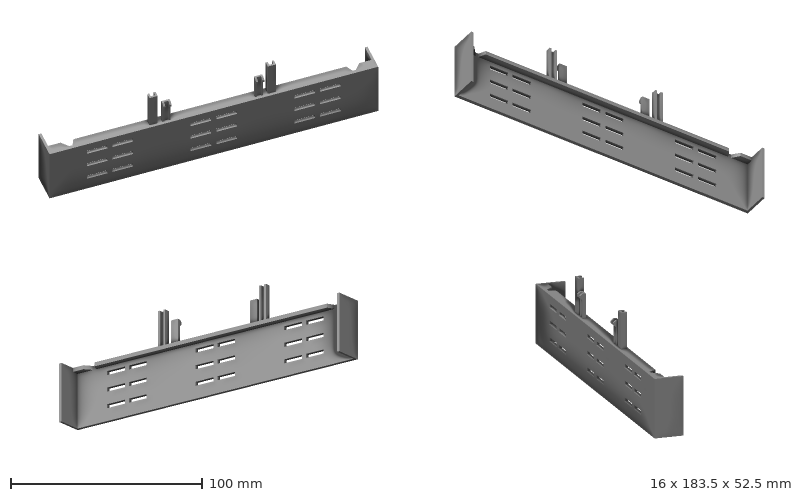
import cadquery as cq

length = 183.5
depth = 16.0
panel_height = 32.5
total_height = 52.5

panel_thickness = 2.0
end_plate_thickness = 1.5
lip_width = 6.0
lip_height = 2.2
panel_inner_x = depth - panel_thickness
lip_edge_x = depth - lip_width

notch_mouth_near = 8.5
notch_floor_near = 11.7
notch_floor_far = 13.5
notch_mouth_far = 15.6

slot_length = 11.5
slot_height = 2.2
slot_column_pitch = 14.3
slot_row_pitch = 9.2
slot_group_pitch = 58.0
slot_middle_row_z = 17.5

post_length = 4.5
post_wall = 1.1
guide_center_y = 33.0
guide_x = 11.0
guide_width = 3.3
clip_center_y = 25.9
clip_x = 12.7
clip_width = 1.7
clip_height = 13.8
hook_height = 3.7
hook_tip_height = 1.3


def box(x_min, x_max, y_center, y_size, z_min, z_max):
    """Block given by its X and Z limits and its centre and size along Y."""
    block = cq.Workplane("XY").box(x_max - x_min, y_size, z_max - z_min, centered=(False, True, False))
    return block.translate((x_min, y_center, z_min))


def make_body():
    """Panel with an end plate at each end and the lip along its top."""
    body = box(panel_inner_x, depth, 0, length, 0, panel_height)
    body = body.union(box(lip_edge_x, depth, 0, length, panel_height - lip_height, panel_height))
    end_plate_y = (length - end_plate_thickness) / 2
    for side in (-1, 1):
        body = body.union(box(0, depth, side * end_plate_y, end_plate_thickness, 0, panel_height))
    return body


def make_notch(side):
    """Tapered cut from the lip edge to the inner face of the panel."""
    end_y = length / 2
    outline = [
        (lip_edge_x, side * (end_y - notch_mouth_near)),
        (panel_inner_x, side * (end_y - notch_floor_near)),
        (panel_inner_x, side * (end_y - notch_floor_far)),
        (lip_edge_x, side * (end_y - notch_mouth_far)),
    ]
    lip_bottom = cq.Workplane("XY").workplane(offset=panel_height - lip_height)
    return lip_bottom.polyline(outline).close().extrude(lip_height)


def make_slots():
    """All slots, cut through the thickness of the panel."""
    centers = [
        (group * slot_group_pitch + column * slot_column_pitch / 2, slot_middle_row_z + row * slot_row_pitch)
        for group in (-1, 0, 1)
        for column in (-1, 1)
        for row in (-1, 0, 1)
    ]
    inner_face = cq.Workplane("YZ").workplane(offset=panel_inner_x)
    return inner_face.pushPoints(centers).rect(slot_length, slot_height).extrude(panel_thickness)


def make_guide(y_center):
    """Tall C-shaped channel, open toward -X."""
    back_x = guide_x + guide_width
    outer = box(guide_x, back_x, y_center, post_length, panel_height, total_height)
    groove_width = post_length - 2 * post_wall
    groove = box(guide_x, back_x - post_wall, y_center, groove_width, panel_height, total_height)
    return outer.cut(groove)


def make_clip(y_center):
    """Short C-shaped channel, open toward +X, with a hook at the top of each wall."""
    back_x = clip_x + clip_width
    top_z = panel_height + clip_height
    hook_bottom_z = top_z - hook_height
    tip_drop = (hook_height - hook_tip_height) / 2
    outline = [
        (clip_x, panel_height),
        (back_x, panel_height),
        (back_x, hook_bottom_z),
        (depth, hook_bottom_z + tip_drop),
        (depth, top_z - tip_drop),
        (back_x, top_z),
        (clip_x, top_z),
    ]
    outer = (
        cq.Workplane("XZ")
        .polyline(outline)
        .close()
        .extrude(post_length / 2, both=True)
        .translate((0, y_center, 0))
    )
    groove = box(clip_x + post_wall, depth, y_center, post_length - 2 * post_wall, panel_height, top_z)
    return outer.cut(groove)


result = make_body().cut(make_slots())
for side in (-1, 1):
    result = result.cut(make_notch(side))
    result = result.union(make_guide(side * guide_center_y))
    result = result.union(make_clip(side * clip_center_y))